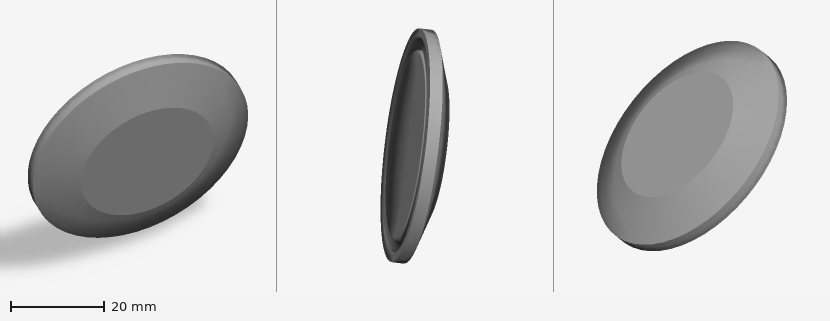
import cadquery as cq
import math

outer_diameter = 50.4
thickness = 6.35
rim_thickness = 2.75
back_diameter = 30.95

groove_inner_radius = 20.0
groove_outer_radius = 23.65
lip_radius = 0.5
floor_radius = 1.2
wall_angle = math.radians(72)

outer_radius = outer_diameter / 2
back_radius = back_diameter / 2


def make_disc():
    """Flat rim with a conical back, revolved about the X axis."""
    profile = (
        cq.Workplane("XY")
        .moveTo(0, 0)
        .lineTo(0, outer_radius)
        .lineTo(rim_thickness, outer_radius)
        .lineTo(thickness, back_radius)
        .lineTo(thickness, 0)
        .close()
    )
    return profile.revolve(360, (0, 0, 0), (1, 0, 0))


def make_groove_cutter():
    """Ring whose section has a floor arc and two lip arcs, joined by tangent walls."""
    middle_radius = (groove_inner_radius + groove_outer_radius) / 2
    half_width = (groove_outer_radius - groove_inner_radius) / 2

    arcs_width = (lip_radius + floor_radius) * math.sin(wall_angle)
    wall_depth = (half_width - arcs_width) * math.tan(wall_angle)
    floor_start_depth = lip_radius * (1 - math.cos(wall_angle)) + wall_depth
    groove_depth = floor_start_depth + floor_radius * (1 - math.cos(wall_angle))

    def lip_point(angle, side):
        """Point on a lip arc, turned by the angle from the flat face."""
        x = lip_radius * (1 - math.cos(angle))
        return x, middle_radius + side * (half_width - lip_radius * math.sin(angle))

    def floor_edge(side):
        """Point where a wall meets the floor arc."""
        return floor_start_depth, middle_radius + side * floor_radius * math.sin(wall_angle)

    profile = (
        cq.Workplane("XY")
        .moveTo(*lip_point(0, -1))
        .threePointArc(lip_point(wall_angle / 2, -1), lip_point(wall_angle, -1))
        .lineTo(*floor_edge(-1))
        .threePointArc((groove_depth, middle_radius), floor_edge(1))
        .lineTo(*lip_point(wall_angle, 1))
        .threePointArc(lip_point(wall_angle / 2, 1), lip_point(0, 1))
        .close()
    )
    return profile.revolve(360, (0, 0, 0), (1, 0, 0))


result = make_disc().cut(make_groove_cutter())